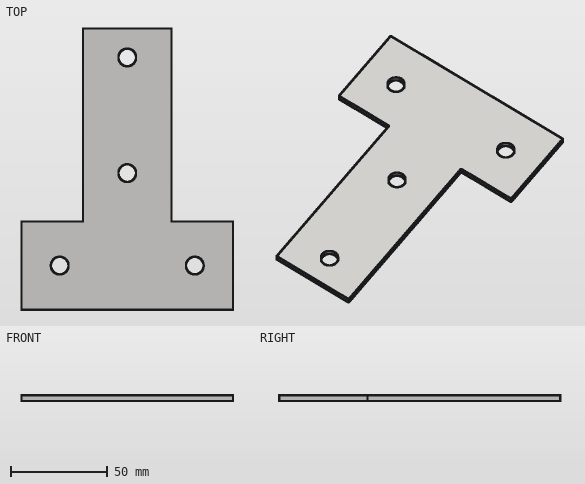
import cadquery as cq

total_length = 146.0
bar_length = 110.0
arm_width = 46.0
thickness = 3.0

hole_diameter = 9.0
bar_hole_spacing = 70.1
stem_hole_spacing = 60.0
stem_end_margin = 15.0

outer_hole_y = total_length - stem_end_margin
inner_hole_y = outer_hole_y - stem_hole_spacing
bar_hole_y = arm_width / 2
hole_centres = [
    (-bar_hole_spacing / 2, bar_hole_y),
    (bar_hole_spacing / 2, bar_hole_y),
    (0, inner_hole_y),
    (0, outer_hole_y),
]


def plate_strip(width, length):
    """Flat strip centred on X, starting at Y = 0 and resting on Z = 0."""
    return cq.Workplane("XY").box(width, length, thickness, centered=(True, False, False))


crossbar = plate_strip(bar_length, arm_width)
stem = plate_strip(arm_width, total_length)
holes = (
    cq.Workplane("XY")
    .pushPoints(hole_centres)
    .circle(hole_diameter / 2)
    .extrude(thickness)
)

result = crossbar.union(stem).clean().cut(holes)